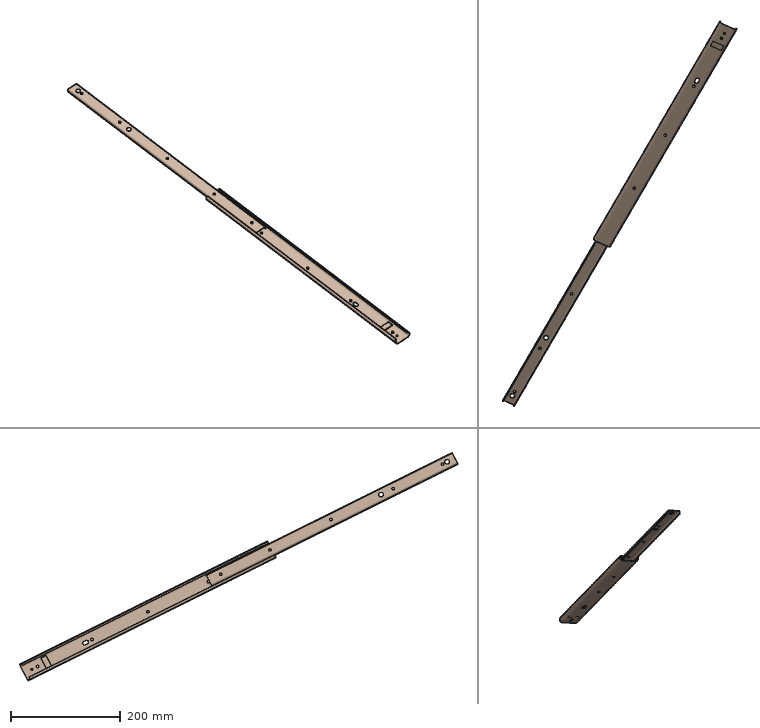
import cadquery as cq
import math

total_length = 887.0
outer_start = 377.0
inner_length = 506.5
outer_length = total_length - outer_start

rail_height = 9.6
outer_half_width = 35.3 / 2
wall_radius = 6.5
lip_bend_radius = 2.0
sheet = 1.5
lip_inner_y = 12.6
wall_centre_y = outer_half_width - wall_radius
centre_gap = wall_radius - lip_bend_radius
join_angle = math.asin((rail_height - lip_bend_radius - wall_radius) / centre_gap)
bend_centre_y = wall_centre_y + centre_gap * math.cos(join_angle)
bend_centre_z = rail_height - lip_bend_radius

inner_half_width = 12.0
inner_bend_radius = 3.2
inner_bottom_z = 3.4

screw_hole_diameter = 4.5
inner_screw_holes = [25.4, 127.0, 255.0, 381.0, 482.0]
outer_screw_holes = [507.5, 632.0, 747.0, 859.0]
mounting_hole_diameter = 8.5
mounting_holes = [16.0, 152.0]
end_hole_diameter = 3.5
end_hole_x = 871.0
slot_x = 760.2
slot_length = 11.0
slot_width = 7.0

stop_start = 836.0
stop_length = 10.7
stop_top_z = 3.8
stop_half_width = wall_centre_y

lip_end_gap = 3.5
trimmed_wall_z = bend_centre_z


def arc_point(centre_y, centre_z, radius, angle):
    """Point (y, z) on a circle; the angle is measured up from the +Y direction."""
    return (centre_y + radius * math.cos(angle), centre_z + radius * math.sin(angle))


def mirrored(point):
    return (-point[0], point[1])


def trough(inset):
    """Solid filling the outer rail from wall to wall, its whole outline moved inwards by an inset."""
    wall = (wall_centre_y, wall_radius, wall_radius - inset)
    bend = (bend_centre_y, bend_centre_z, lip_bend_radius - inset)
    bottom = arc_point(*wall, -math.pi / 2)
    wall_middle = arc_point(*wall, (join_angle - math.pi / 2) / 2)
    join = arc_point(*wall, join_angle)
    bend_middle = arc_point(*bend, (join_angle + math.pi / 2) / 2)
    top = arc_point(*bend, math.pi / 2)
    return (
        cq.Workplane("YZ")
        .moveTo(*mirrored(bottom))
        .lineTo(*bottom)
        .threePointArc(wall_middle, join)
        .threePointArc(bend_middle, top)
        .lineTo(*mirrored(top))
        .threePointArc(mirrored(bend_middle), mirrored(join))
        .threePointArc(mirrored(wall_middle), mirrored(bottom))
        .close()
        .extrude(outer_length)
        .translate((outer_start, 0, 0))
    )


def centre_holes(diameter, positions):
    """Vertical cutters on the centre line, taller than the rails."""
    return (
        cq.Workplane("XY")
        .pushPoints([(x, 0) for x in positions])
        .circle(diameter / 2)
        .extrude(rail_height)
    )


def box(start, length, width, bottom_z, top_z):
    """Block centred on Y."""
    return (
        cq.Workplane("XY")
        .box(length, width, top_z - bottom_z, centered=(False, True, False))
        .translate((start, 0, bottom_z))
    )


def make_outer_rail():
    mouth = box(outer_start, outer_length, 2 * lip_inner_y, rail_height - 2 * sheet, rail_height)
    stop = box(stop_start, stop_length, 2 * stop_half_width, sheet / 2, stop_top_z)
    lip_trim = box(
        total_length - lip_end_gap, lip_end_gap, 2 * outer_half_width, trimmed_wall_z, rail_height
    )
    slot = cq.Workplane("XY").center(slot_x, 0).slot2D(slot_length, slot_width).extrude(rail_height)
    return (
        trough(0)
        .cut(trough(sheet))
        .cut(mouth)
        .union(stop)
        .cut(lip_trim)
        .cut(slot)
        .cut(centre_holes(screw_hole_diameter, outer_screw_holes))
        .cut(centre_holes(end_hole_diameter, [end_hole_x]))
    )


def make_inner_rail():
    channel = (
        box(0, inner_length, 2 * inner_half_width, inner_bottom_z, rail_height)
        .edges("|X and >Z")
        .fillet(inner_bend_radius)
    )
    hollow = (
        box(0, inner_length, 2 * (inner_half_width - sheet), inner_bottom_z, rail_height - sheet)
        .edges("|X and >Z")
        .fillet(inner_bend_radius - sheet)
    )
    return (
        channel.cut(hollow)
        .cut(centre_holes(screw_hole_diameter, inner_screw_holes))
        .cut(centre_holes(mounting_hole_diameter, mounting_holes))
    )


outer_rail = make_outer_rail()
inner_rail = make_inner_rail()

result = cq.Compound.makeCompound([outer_rail.val(), inner_rail.val()])